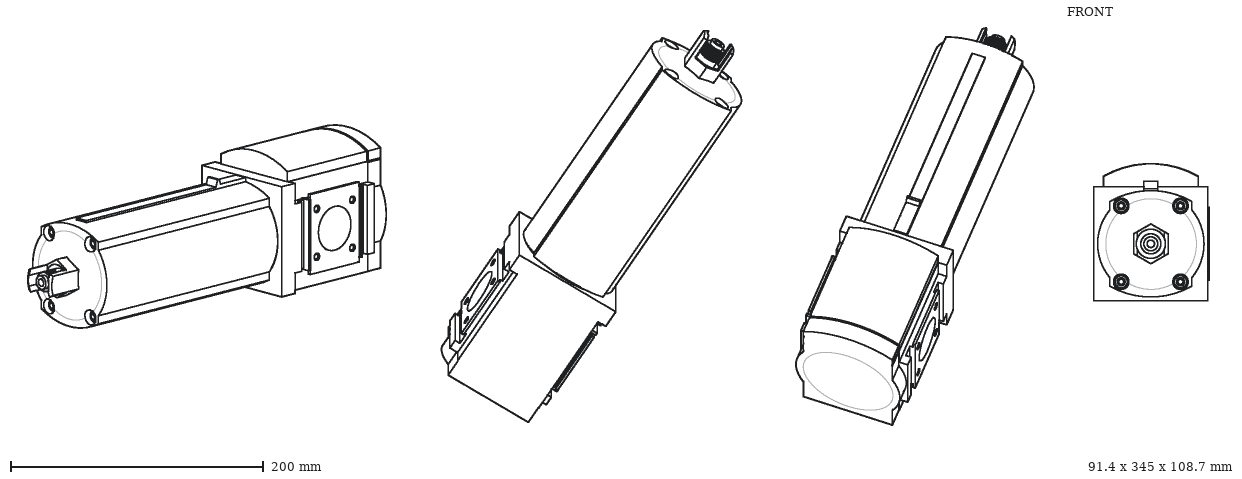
import cadquery as cq
import math


FLANGE_HALF = 45.2
FLANGE_FRONT = -58.5
FLANGE_BACK = -43.8
BLOCK_HALF_WIDTH = 38.0
BLOCK_BACK = 43.8
FLANK_HALF_HEIGHT = 28.3
FLANK_FLOOR = 40.7
PAD_HALF_LENGTH = 27.0
PAD_HALF_HEIGHT = 32.8
PAD_THICKNESS = 2.0
GROOVE_OUTER = 36.2
PORT_DIAMETER = 36.0
PORT_SCREW_SPACING = 39.5
PORT_SCREW_DIAMETER = 4.0
PORT_SCREW_SINK = 6.0
PORT_SCREW_DEPTH = 7.0
LIP_REACH = 46.2
LIP_THICKNESS = 2.0
LIP_OFFSET = 28.5
LIP_HALF_HEIGHT = 29.0

COVER_HALF_WIDTH = 37.5
COVER_EDGE = 53.5
COVER_TOP = 63.5
COVER_FRONT = -45.0
CAP_BACK = 58.3
CAP_DIAMETER = 88.0
DOME_RADIUS = 38.0
DOME_HEIGHT = 3.5
SEAM_WIDTH = 1.0
SEAM_DEPTH = 0.5

BOWL_GAP = 1.0
BOWL_START = FLANGE_FRONT - BOWL_GAP
BOWL_NECK_DIAMETER = 81.5
BOWL_RADIUS = 42.0
BOWL_CORNER_X = 32.5
BOWL_CORNER_Z = 33.5
BOWL_END = -248.7
CONE_DIAMETER = 71.8
CONE_END = -252.5
CONE_END_RADIUS = 13.8

RAIL_WIDTH = 11.0
RAIL_TOP = 43.5
RAIL_END = -236.0
LATCH_TOP = 45.2
LATCH_PEAK = 49.5
LATCH_END = -92.5
LATCH_TOOTH_LENGTH = 5.2
LATCH_TOOTH_TIP = 1.7

SCREW_X = 23.5
SCREW_Z = 30.0
SCREW_BORE_DIAMETER = 12.0
SCREW_BORE_DEPTH = 9.5
SCREW_HEAD_DIAMETER = 9.5
SCREW_HEAD_HEIGHT = 7.0
SCREW_HEAD_CHAMFER = 1.7
SCREW_SOCKET_DIAMETER = 4.0
SCREW_SOCKET_DEPTH = 3.5

HEX_ACROSS_FLATS = 27.3
HEX_END = -263.2
BLADE_END = -283.2
BLADE_GAP = 21.5
BLADE_BEVEL = 2.8
VALVE_BORE_DIAMETER = 23.0
VALVE_BORE_DEPTH = 3.5
STEM_DIAMETER = 16.0
STEM_COLLAR_END = -267.0
STEM_NECK_DIAMETER = 11.5
RING_START = -268.5
RING_PITCH = 2.5
RING_COUNT = 4
RING_WIDTH = 1.5
RING_GROOVE_DIAMETER = 13.0
STEM_TIP_DIAMETER = 11.0
STEM_END = -280.5
STEM_HOLE_DIAMETER = 6.0
STEM_HOLE_DEPTH = 12.0


def box(x0, x1, y0, y1, z0, z1):
    """Axis-aligned box between two opposite corners."""
    return cq.Workplane("XY").box(x1 - x0, y1 - y0, z1 - z0, centered=False).translate((x0, y0, z0))


def centred_box(half_width, y0, y1, half_height):
    return box(-half_width, half_width, y0, y1, -half_height, half_height)


def plane_at(y):
    """XZ workplane at the given Y; extrusions run towards -Y."""
    return cq.Workplane("XZ", origin=(0, y, 0))


def cylinder(diameter, y0, y1):
    """Cylinder on the part axis from y0 down to y1."""
    return plane_at(y0).circle(diameter / 2).extrude(y0 - y1)


def turned(points):
    """Revolve a closed (radius, y) outline about the part axis."""
    return cq.Workplane("XY").polyline(points).close().revolve(360, (0, 0), (0, 1))


def arched_section(back, front, inset=0.0):
    """Arched cover section, from the axis up to the arch, between two Y planes."""
    half_width = COVER_HALF_WIDTH - inset
    edge = COVER_EDGE - inset
    return (
        plane_at(back)
        .moveTo(-half_width, 0)
        .lineTo(-half_width, edge)
        .threePointArc((0, COVER_TOP - inset), (half_width, edge))
        .lineTo(half_width, 0)
        .close()
        .extrude(back - front)
    )


def end_cap():
    """Rounded end cap with a shallow dome on its back face."""
    cap = centred_box(COVER_HALF_WIDTH, BLOCK_BACK, CAP_BACK, FLANGE_HALF)
    cap = cap.union(cylinder(CAP_DIAMETER, CAP_BACK, BLOCK_BACK))
    dome = (
        cq.Workplane("XY")
        .moveTo(0, BLOCK_BACK)
        .lineTo(DOME_RADIUS, BLOCK_BACK)
        .lineTo(DOME_RADIUS, CAP_BACK)
        .threePointArc(dome_middle(), (0, CAP_BACK + DOME_HEIGHT))
        .close()
        .revolve(360, (0, 0), (0, 1))
    )
    return cap.union(dome)


def dome_middle():
    """Point of the dome profile at half the dome radius."""
    sphere_radius = (DOME_RADIUS**2 + DOME_HEIGHT**2) / (2 * DOME_HEIGHT)
    radius = DOME_RADIUS / 2
    drop = sphere_radius - math.sqrt(sphere_radius**2 - radius**2)
    return (radius, CAP_BACK + DOME_HEIGHT - drop)


def cover_seam():
    """Shallow groove around the arch, between the cover and the end cap."""
    seam_front = BLOCK_BACK - SEAM_WIDTH / 2
    seam_back = BLOCK_BACK + SEAM_WIDTH / 2
    ring = arched_section(seam_back, seam_front).cut(arched_section(seam_back, seam_front, SEAM_DEPTH))
    above_block = box(-FLANGE_HALF, FLANGE_HALF, seam_front, seam_back, FLANGE_HALF, COVER_TOP)
    return ring.intersect(above_block)


def cap_seam():
    """Shallow groove along both sides of the end cap, just below its arch."""
    low = FLANGE_HALF - SEAM_WIDTH
    band = box(-COVER_HALF_WIDTH, COVER_HALF_WIDTH, BLOCK_BACK, CAP_BACK, low, FLANGE_HALF)
    return band.cut(centred_box(COVER_HALF_WIDTH - SEAM_DEPTH, BLOCK_BACK, CAP_BACK, FLANGE_HALF))


def port_sides():
    """Raised flanks, clamp grooves and port pads on both sides."""
    sides = centred_box(FLANGE_HALF, FLANGE_BACK, BLOCK_BACK, FLANK_HALF_HEIGHT)
    pad = centred_box(FLANGE_HALF, -PAD_HALF_LENGTH, PAD_HALF_LENGTH, PAD_HALF_HEIGHT)
    pad_core = centred_box(
        FLANGE_HALF - PAD_THICKNESS, -PAD_HALF_LENGTH, PAD_HALF_LENGTH, PAD_HALF_HEIGHT
    )
    sides = sides.union(pad.cut(pad_core))
    for side in (-1, 1):
        y0, y1 = sorted((side * PAD_HALF_LENGTH, side * GROOVE_OUTER))
        groove = centred_box(FLANGE_HALF, y0, y1, FLANGE_HALF)
        sides = sides.cut(groove.cut(centred_box(FLANK_FLOOR, y0, y1, FLANGE_HALF)))
    return sides


def port_lips():
    """Two thin upright lips that border the pad on the +X side."""
    lips = cq.Workplane("XY")
    for y in (-LIP_OFFSET, LIP_OFFSET):
        lips = lips.union(
            box(
                BLOCK_HALF_WIDTH,
                LIP_REACH,
                y - LIP_THICKNESS / 2,
                y + LIP_THICKNESS / 2,
                -LIP_HALF_HEIGHT,
                LIP_HALF_HEIGHT,
            )
        )
    return lips


def port_holes():
    """Through port along X and four countersunk screw holes in each pad."""
    holes = cq.Workplane("YZ").circle(PORT_DIAMETER / 2).extrude(FLANGE_HALF, both=True)
    sink = (PORT_SCREW_SINK - PORT_SCREW_DIAMETER) / 2
    for side in (-1, 1):
        for y in (-PORT_SCREW_SPACING / 2, PORT_SCREW_SPACING / 2):
            for z in (-PORT_SCREW_SPACING / 2, PORT_SCREW_SPACING / 2):
                mouth = cq.Vector(side * FLANGE_HALF, y, z)
                inward = cq.Vector(-side, 0, 0)
                drill = cq.Solid.makeCylinder(
                    PORT_SCREW_DIAMETER / 2, PORT_SCREW_DEPTH, mouth, inward
                )
                cone = cq.Solid.makeCone(
                    PORT_SCREW_SINK / 2, PORT_SCREW_DIAMETER / 2, sink, mouth, inward
                )
                holes = holes.union(cq.Workplane(drill)).union(cq.Workplane(cone))
    return holes


def make_head():
    head = centred_box(BLOCK_HALF_WIDTH, FLANGE_BACK, BLOCK_BACK, FLANGE_HALF)
    head = head.union(centred_box(FLANGE_HALF, FLANGE_FRONT, FLANGE_BACK, FLANGE_HALF))
    head = head.union(end_cap())
    head = head.union(arched_section(CAP_BACK, COVER_FRONT))
    head = head.union(port_sides())
    head = head.union(port_lips())
    return head.cut(cover_seam()).cut(cap_seam()).cut(port_holes())


def bowl_section(start, end):
    """Round section with four squared corners, between two Y planes."""
    side_z = math.sqrt(BOWL_RADIUS**2 - BOWL_CORNER_X**2)
    return (
        plane_at(start)
        .moveTo(-BOWL_CORNER_X, BOWL_CORNER_Z)
        .threePointArc((0, BOWL_RADIUS), (BOWL_CORNER_X, BOWL_CORNER_Z))
        .lineTo(BOWL_CORNER_X, side_z)
        .threePointArc((BOWL_RADIUS, 0), (BOWL_CORNER_X, -side_z))
        .lineTo(BOWL_CORNER_X, -BOWL_CORNER_Z)
        .threePointArc((0, -BOWL_RADIUS), (-BOWL_CORNER_X, -BOWL_CORNER_Z))
        .lineTo(-BOWL_CORNER_X, -side_z)
        .threePointArc((-BOWL_RADIUS, 0), (-BOWL_CORNER_X, side_z))
        .close()
        .extrude(start - end)
    )


def rail_and_latch():
    """Rail along the top of the bowl, with a raised latch and its finger tooth."""
    tooth_middle = LATCH_END + LATCH_TOOTH_LENGTH / 2
    return (
        cq.Workplane("YZ", origin=(-RAIL_WIDTH / 2, 0, 0))
        .moveTo(BOWL_START, 0)
        .lineTo(BOWL_START, LATCH_TOP)
        .lineTo(LATCH_END + LATCH_TOOTH_LENGTH, LATCH_TOP)
        .lineTo(tooth_middle + LATCH_TOOTH_TIP / 2, LATCH_PEAK)
        .lineTo(tooth_middle - LATCH_TOOTH_TIP / 2, LATCH_PEAK)
        .lineTo(LATCH_END, RAIL_TOP)
        .lineTo(RAIL_END, RAIL_TOP)
        .lineTo(RAIL_END, 0)
        .close()
        .extrude(RAIL_WIDTH)
    )


def end_cone():
    """Flat cone that closes the end of the bowl around the valve."""
    return turned(
        [
            (0, BOWL_END),
            (CONE_DIAMETER / 2, BOWL_END),
            (CONE_END_RADIUS, CONE_END),
            (0, CONE_END),
        ]
    )


def add_end_screws(bowl):
    """Sink four socket screw heads into the end of the bowl."""
    centres = [(x, z) for x in (-SCREW_X, SCREW_X) for z in (-SCREW_Z, SCREW_Z)]
    floor = BOWL_END + SCREW_BORE_DEPTH
    bores = plane_at(floor).pushPoints(centres).circle(SCREW_BORE_DIAMETER / 2).extrude(floor - CONE_END)
    heads = (
        plane_at(floor)
        .pushPoints(centres)
        .circle(SCREW_HEAD_DIAMETER / 2)
        .extrude(SCREW_HEAD_HEIGHT)
        .faces("<Y")
        .edges()
        .chamfer(SCREW_HEAD_CHAMFER)
    )
    socket_floor = floor - SCREW_HEAD_HEIGHT + SCREW_SOCKET_DEPTH
    sockets = (
        plane_at(socket_floor)
        .pushPoints(centres)
        .circle(SCREW_SOCKET_DIAMETER / 2)
        .extrude(SCREW_SOCKET_DEPTH)
    )
    return bowl.cut(bores).union(heads).cut(sockets)


def valve_hexagon():
    """Hexagonal valve body with a conical recess, whose two X flats run on as blades."""
    corner_diameter = HEX_ACROSS_FLATS / math.cos(math.pi / 6)
    hexagon = (
        plane_at(BOWL_END)
        .transformed(rotate=(0, 0, 90))
        .polygon(6, corner_diameter)
        .extrude(BOWL_END - BLADE_END)
    )
    bevelled_envelope = turned(
        [
            (0, BOWL_END),
            (corner_diameter / 2, BOWL_END),
            (corner_diameter / 2, BLADE_END + BLADE_BEVEL),
            (VALVE_BORE_DIAMETER / 2, BLADE_END),
            (0, BLADE_END),
        ]
    )
    blade_slot = centred_box(BLADE_GAP / 2, BLADE_END, HEX_END, HEX_ACROSS_FLATS)
    bore = turned(
        [
            (0, HEX_END + VALVE_BORE_DEPTH),
            (STEM_DIAMETER / 2, HEX_END + VALVE_BORE_DEPTH),
            (VALVE_BORE_DIAMETER / 2, HEX_END),
            (VALVE_BORE_DIAMETER / 2, BLADE_END),
            (0, BLADE_END),
        ]
    )
    return hexagon.intersect(bevelled_envelope).cut(blade_slot).cut(bore)


def valve_stem():
    """Drain stem with a collar, a ringed grip, a narrow tip and a centre hole."""
    floor = HEX_END + VALVE_BORE_DEPTH
    stem = cylinder(STEM_DIAMETER, floor, STEM_COLLAR_END)
    stem = stem.union(cylinder(STEM_NECK_DIAMETER, STEM_COLLAR_END, RING_START))
    rings_end = RING_START - (RING_COUNT - 1) * RING_PITCH - RING_WIDTH
    stem = stem.union(cylinder(RING_GROOVE_DIAMETER, RING_START, rings_end))
    for index in range(RING_COUNT):
        ring_start = RING_START - index * RING_PITCH
        stem = stem.union(cylinder(STEM_DIAMETER, ring_start, ring_start - RING_WIDTH))
    stem = stem.union(cylinder(STEM_TIP_DIAMETER, rings_end, STEM_END))
    return stem.cut(cylinder(STEM_HOLE_DIAMETER, STEM_END + STEM_HOLE_DEPTH, STEM_END))


def make_bowl():
    bowl = cylinder(BOWL_NECK_DIAMETER, FLANGE_FRONT, BOWL_START)
    bowl = bowl.union(bowl_section(BOWL_START, BOWL_END))
    bowl = bowl.union(rail_and_latch()).union(end_cone())
    bowl = add_end_screws(bowl)
    return bowl.union(valve_hexagon()).union(valve_stem())


head = make_head()
bowl = make_bowl()
result = cq.Compound.makeCompound([head.solids().val(), bowl.solids().val()])